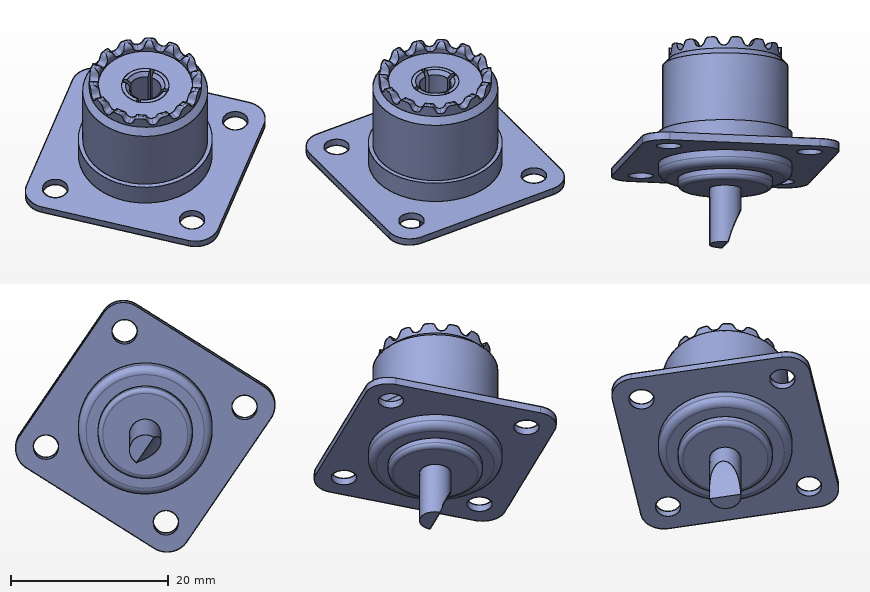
import cadquery as cq
import math


FLANGE_X = 25.5
FLANGE_Y = 25.4
FLANGE_THICKNESS = 1.0
FLANGE_CORNER_RADIUS = 3.0
MOUNT_HOLE_DIAMETER = 3.2
MOUNT_HOLE_PITCH = 18.2

COLLAR_DIAMETER = 17.0
BARREL_DIAMETER = 15.88
CROWN_DIAMETER = 14.25
BORE_DIAMETER = 11.98
SHELL_TOP = 15.0
CROWN_HEIGHT = 1.5
CROWN_BASE = SHELL_TOP - CROWN_HEIGHT
BARREL_CHAMFER = (BARREL_DIAMETER - CROWN_DIAMETER) / 2
COLLAR_TOP = 3.9
SHELL_REAR = -1.9
REAR_EDGE_RADIUS = 1.0

TOOTH_COUNT = 14
TOOTH_PITCH_ANGLE = 360 / TOOTH_COUNT
FIRST_NOTCH_ANGLE = TOOTH_PITCH_ANGLE / 2
NOTCH_DEPTH = 1.1
NOTCH_HALF_WIDTH = 1.3
NOTCH_WAIST_HALF_WIDTH = 0.7
TOOTH_INNER_RADIUS = 0.7

PLUG_DIAMETER = 12.0
PLUG_LENGTH = 1.3
PLUG_EDGE_RADIUS = 0.6
INSULATOR_DEPTH = 1.3
INSULATOR_TOP = SHELL_TOP - INSULATOR_DEPTH
INSULATOR_REAR = SHELL_REAR - PLUG_LENGTH

SOCKET_DIAMETER = 6.0
SOCKET_BORE_DIAMETER = 4.0
SOCKET_MOUTH_DIAMETER = 5.0
FINGER_COUNT = 4
FINGER_LENGTH = 9.0
FINGER_BASE = INSULATOR_TOP - FINGER_LENGTH
SLOT_WIDTH = 0.5
BORE_TIP_ANGLE = 118.0
PIN_HEAD_LENGTH = 2.5
PIN_HEAD_REAR = FINGER_BASE - PIN_HEAD_LENGTH
PIN_DIAMETER = 4.0
PIN_TIP = -10.5
SCOOP_LENGTH = 4.6
SCOOP_MID_OFFSET = 0.8

CLEARANCE = 1.0


def cylinder(diameter, bottom, top):
    return cq.Workplane("XY", origin=(0, 0, bottom)).circle(diameter / 2).extrude(top - bottom)


def make_flange():
    plate = (
        cq.Workplane("XY")
        .rect(FLANGE_X, FLANGE_Y)
        .extrude(FLANGE_THICKNESS)
        .edges("|Z")
        .fillet(FLANGE_CORNER_RADIUS)
    )
    return (
        plate.faces(">Z")
        .workplane()
        .rect(MOUNT_HOLE_PITCH, MOUNT_HOLE_PITCH, forConstruction=True)
        .vertices()
        .hole(MOUNT_HOLE_DIAMETER)
    )


def make_notch_cutter(angle):
    """Radial groove with S-shaped flanks, open at the top of the crown."""
    floor = SHELL_TOP - NOTCH_DEPTH
    waist = SHELL_TOP - NOTCH_DEPTH / 2
    groove = (
        cq.Workplane("YZ")
        .moveTo(-NOTCH_HALF_WIDTH, SHELL_TOP)
        .spline(
            [(-NOTCH_WAIST_HALF_WIDTH, waist), (0, floor)],
            tangents=[(1, 0), (1, 0)],
            includeCurrent=True,
        )
        .spline(
            [(NOTCH_WAIST_HALF_WIDTH, waist), (NOTCH_HALF_WIDTH, SHELL_TOP)],
            tangents=[(1, 0), (1, 0)],
            includeCurrent=True,
        )
        .close()
        .extrude(CROWN_DIAMETER / 2 + CLEARANCE)
    )
    return groove.rotate((0, 0, 0), (0, 0, 1), angle)


def make_shell():
    """Flange, collar and barrel in one piece, bored through, with a toothed crown on top."""
    rear = cylinder(COLLAR_DIAMETER, SHELL_REAR, COLLAR_TOP).faces("<Z").edges().fillet(REAR_EDGE_RADIUS)
    barrel = cylinder(BARREL_DIAMETER, 0, CROWN_BASE).faces(">Z").chamfer(BARREL_CHAMFER)
    crown = cylinder(CROWN_DIAMETER, 0, SHELL_TOP)
    shell = make_flange().union(rear).union(barrel).union(crown)
    shell = shell.cut(cylinder(BORE_DIAMETER, SHELL_REAR, SHELL_TOP))

    bore_rim = shell.faces(">Z").edges("%CIRCLE").edges(cq.selectors.RadiusNthSelector(0))
    shell = bore_rim.fillet(TOOTH_INNER_RADIUS)
    for index in range(TOOTH_COUNT):
        shell = shell.cut(make_notch_cutter(FIRST_NOTCH_ANGLE + index * TOOTH_PITCH_ANGLE))
    return shell


def make_insulator():
    """Dielectric filling the shell bore, with a wider round-edged plug behind the shell."""
    core = cylinder(BORE_DIAMETER, SHELL_REAR, INSULATOR_TOP)
    plug = cylinder(PLUG_DIAMETER, INSULATOR_REAR, SHELL_REAR).faces("<Z").edges().fillet(PLUG_EDGE_RADIUS)
    return (
        core.union(plug)
        .cut(cylinder(SOCKET_DIAMETER, PIN_HEAD_REAR, INSULATOR_TOP))
        .cut(cylinder(PIN_DIAMETER, INSULATOR_REAR, PIN_HEAD_REAR))
    )


def make_finger(angle):
    """Quarter of the slotted socket sleeve, flared at the mouth, in the quadrant after angle."""
    outer = SOCKET_DIAMETER / 2
    bore = SOCKET_BORE_DIAMETER / 2
    mouth = SOCKET_MOUTH_DIAMETER / 2
    sleeve = (
        cq.Workplane("XZ")
        .moveTo(bore, FINGER_BASE)
        .lineTo(outer, FINGER_BASE)
        .lineTo(outer, INSULATOR_TOP)
        .lineTo(mouth, INSULATOR_TOP)
        .lineTo(bore, INSULATOR_TOP - (mouth - bore))
        .close()
        .revolve(360, (0, 0, 0), (0, 1, 0))
    )
    quadrant = (
        cq.Workplane("XY", origin=(SLOT_WIDTH / 2, SLOT_WIDTH / 2, FINGER_BASE))
        .rect(outer, outer, centered=False)
        .extrude(FINGER_LENGTH)
    )
    return sleeve.intersect(quadrant).rotate((0, 0, 0), (0, 0, 1), angle)


def make_solder_pin():
    """Pin with a head under the fingers, a drill-point hollow on top and a scooped solder end."""
    bore = SOCKET_BORE_DIAMETER / 2
    radius = PIN_DIAMETER / 2
    hollow_depth = bore / math.tan(math.radians(BORE_TIP_ANGLE / 2))
    hollow = cq.Workplane(
        cq.Solid.makeCone(0, bore, hollow_depth, pnt=cq.Vector(0, 0, FINGER_BASE - hollow_depth))
    )
    scoop = (
        cq.Workplane("YZ")
        .moveTo(radius, PIN_TIP + SCOOP_LENGTH)
        .threePointArc((SCOOP_MID_OFFSET, PIN_TIP + SCOOP_LENGTH / 2), (0, PIN_TIP))
        .lineTo(radius, PIN_TIP)
        .close()
        .extrude(radius, both=True)
    )
    head = cylinder(SOCKET_DIAMETER, PIN_HEAD_REAR, FINGER_BASE)
    return head.union(cylinder(PIN_DIAMETER, PIN_TIP, PIN_HEAD_REAR)).cut(hollow).cut(scoop)


shell = make_shell()
insulator = make_insulator()
fingers = [make_finger(index * 360 / FINGER_COUNT) for index in range(FINGER_COUNT)]
solder_pin = make_solder_pin()

result = cq.Compound.makeCompound(
    [
        shell.val(),
        insulator.val(),
        *[finger.val() for finger in fingers],
        solder_pin.val(),
    ]
)